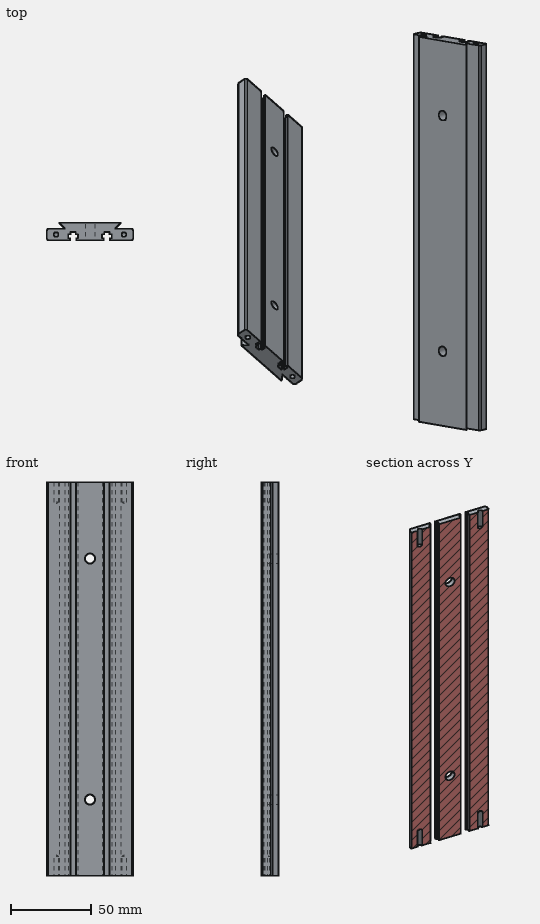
import cadquery as cq
import math

length = 245.0
width = 54.0
thickness = 11.0

dovetail_height = 3.7
dovetail_tip_width = 38.0
dovetail_lip = 0.5
dovetail_undercut = dovetail_height - dovetail_lip

front_chamfer = 1.0
shoulder_chamfer_x = 0.7
shoulder_chamfer_y = 1.2

slot_offset = 10.5
slot_mouth_width = 3.7
slot_relief_width = 3.2
slot_tee_width = 6.0
slot_tee_bottom = 1.5
slot_tee_top = 3.7
slot_relief_depth = 5.1

bore_offset = 21.0
bore_from_front = 3.7
bore_diameter = 3.0
bore_length = 12.2
drill_point_angle = 118

mount_spacing = 150.0
mount_diameter = 6.1

front_y = -thickness / 2
back_y = thickness / 2
shoulder_y = back_y - dovetail_height
half_width = width / 2
half_tip = dovetail_tip_width / 2
half_root = half_tip - dovetail_undercut


def make_rail():
    """Extrude the base plate and dovetail with their chamfered edges as one profile."""
    right_side = [
        (half_width - front_chamfer, front_y),
        (half_width, front_y + front_chamfer),
        (half_width, shoulder_y - shoulder_chamfer_y),
        (half_width - shoulder_chamfer_x, shoulder_y),
        (half_root, shoulder_y),
        (half_tip, back_y - dovetail_lip),
        (half_tip, back_y),
    ]
    left_side = [(-x, y) for x, y in reversed(right_side)]
    return cq.Workplane("XY").polyline(right_side + left_side).close().extrude(length)


def groove(x, slot_width, start_depth, end_depth):
    """Full-length rectangular groove between two depths from the front face."""
    depth = end_depth - start_depth
    return (
        cq.Workplane("XY")
        .center(x, front_y + start_depth + depth / 2)
        .rect(slot_width, depth)
        .extrude(length)
    )


def make_slot(x):
    mouth = groove(x, slot_mouth_width, 0, slot_tee_top)
    relief = groove(x, slot_relief_width, slot_tee_bottom, slot_relief_depth)
    tee = groove(x, slot_tee_width, slot_tee_bottom, slot_tee_top)
    return mouth.union(tee).union(relief)


def make_bores(x):
    """Matching blind bores in the top and bottom ends."""
    radius = bore_diameter / 2
    point_length = radius / math.tan(math.radians(drill_point_angle / 2))
    half_section = [(0, 0), (radius, 0), (radius, bore_length), (0, bore_length + point_length)]
    bottom_bore = (
        cq.Workplane("XZ")
        .polyline(half_section)
        .close()
        .revolve(360, (0, 0), (0, 1))
        .translate((x, front_y + bore_from_front, 0))
    )
    top_bore = bottom_bore.mirror("XY", (0, 0, length / 2))
    return bottom_bore.union(top_bore)


def make_mounting_holes():
    middle = length / 2
    return (
        cq.Workplane("XZ", origin=(0, back_y, 0))
        .pushPoints([(0, middle - mount_spacing / 2), (0, middle + mount_spacing / 2)])
        .circle(mount_diameter / 2)
        .extrude(thickness)
    )


result = make_rail()
for side in (-1, 1):
    result = result.cut(make_slot(side * slot_offset))
    result = result.cut(make_bores(side * bore_offset))
result = result.cut(make_mounting_holes())